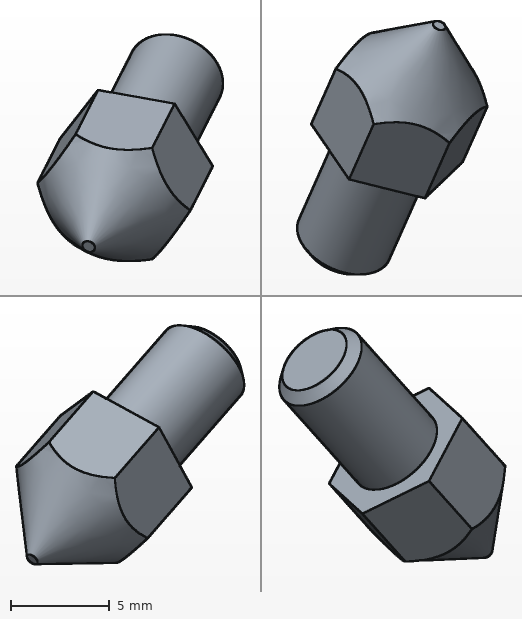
import cadquery as cq
import math

total_length = 15.79
head_length = 8.35
across_flats = 7.0
shank_diameter = 5.0
shank_chamfer = 0.55
tip_diameter = 0.66
corner_cone_length = 4.42

across_corners = across_flats / math.cos(math.pi / 6)
shank_length = total_length - head_length


def hexagonal_head():
    """Hexagonal prism with flats facing +Z and -Z, from the tip plane to the shoulder."""
    return cq.Workplane("XZ").polygon(6, across_corners).extrude(-head_length)


def pointing_envelope():
    """Solid of revolution whose blunt cone sharpens the head."""
    corner_radius = across_corners / 2
    return (
        cq.Workplane("XY")
        .moveTo(0, 0)
        .lineTo(tip_diameter / 2, 0)
        .lineTo(corner_radius, corner_cone_length)
        .lineTo(corner_radius, head_length)
        .lineTo(0, head_length)
        .close()
        .revolve(360, (0, 0, 0), (0, 1, 0))
    )


def shank():
    """Round shank behind the shoulder, chamfered at its free end."""
    return (
        cq.Workplane("XZ", origin=(0, head_length, 0))
        .circle(shank_diameter / 2)
        .extrude(-shank_length)
        .faces(">Y")
        .chamfer(shank_chamfer)
    )


result = hexagonal_head().intersect(pointing_envelope()).union(shank())